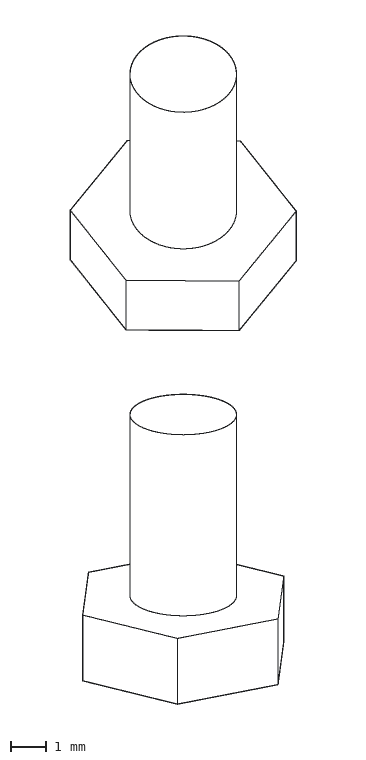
import cadquery as cq
import math

head_sides = 6
across_flats = 5.5
head_height = 2.0
shank_diameter = 3.0
shank_length = 5.5

across_corners = across_flats / math.cos(math.pi / head_sides)


def make_head():
    """Hexagonal head standing on Z = 0, with two corners on the X axis."""
    return cq.Workplane("XY").polygon(head_sides, across_corners).extrude(head_height)


def add_shank(head):
    """Plain cylindrical shank rising from the top of the head."""
    return head.faces(">Z").workplane().circle(shank_diameter / 2).extrude(shank_length)


result = add_shank(make_head())